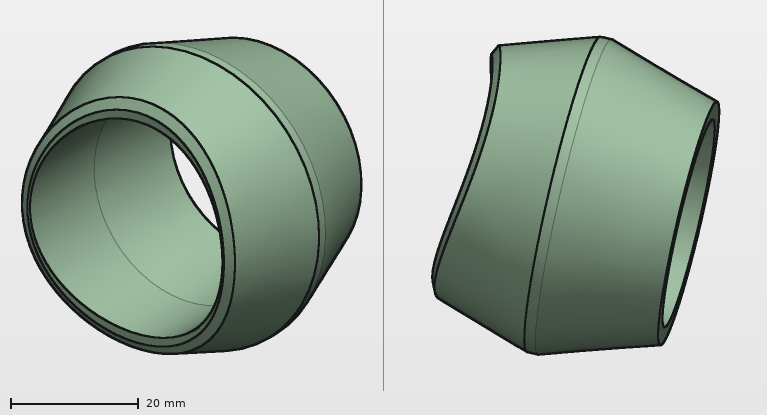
import cadquery as cq
import math

outer_radius = 25.4
back_radius = 19.6
back_bore_radius = 16.7
front_bore_radius = 18.3

back_y = 36.75
band_back_y = 18.35
band_front_y = 16.55
bore_taper_y = 17.9
saddle_crown_y = 3.3

front_cone_angle = 18.0
saddle_radius = 54.35
bevel = 1.25
blank_front_y = -2.55


def revolve_about_y(points):
    """Turn a closed (radius, y) outline into a solid about the Y axis."""
    outline = [(y, radius) for radius, y in points]
    return cq.Workplane("YZ").polyline(outline).close().revolve(360, (0, 0), (1, 0))


def make_blank():
    """Double-tapered outside with a narrow cylindrical band at its widest part."""
    taper_length = band_front_y - blank_front_y
    front_radius = outer_radius - taper_length * math.tan(math.radians(front_cone_angle))
    return revolve_about_y([
        (0, blank_front_y),
        (front_radius, blank_front_y),
        (outer_radius, band_front_y),
        (outer_radius, band_back_y),
        (back_radius, back_y),
        (0, back_y),
    ])


def make_pipe():
    """Run pipe along Z that forms the saddle."""
    return (
        cq.Workplane("XY")
        .center(0, saddle_crown_y - saddle_radius)
        .circle(saddle_radius)
        .extrude(2 * outer_radius, both=True)
    )


def make_bore():
    """Straight bore behind the saddle, narrowing evenly to the back face."""
    return revolve_about_y([
        (0, blank_front_y),
        (front_bore_radius, blank_front_y),
        (front_bore_radius, bore_taper_y),
        (back_bore_radius, back_y),
        (0, back_y),
    ])


body = make_blank().cut(make_pipe())
body = body.faces("%CYLINDER").faces("<Y").edges().chamfer(bevel)
result = body.cut(make_bore())